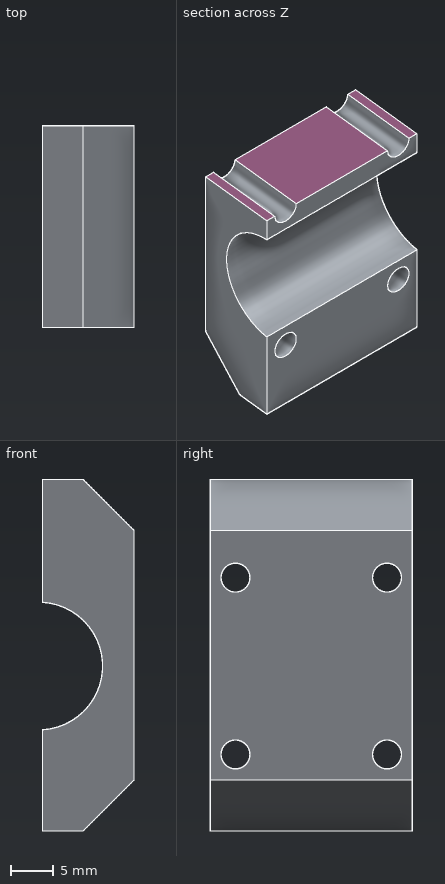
import cadquery as cq

thickness = 10.92
length = 24.0
height = 41.78
corner_chamfer = 6.08

bore_diameter = 15.14
mating_face_x = 0.42
bore_above_bottom = 19.6

hole_diameter = 3.4
hole_spacing_y = 18.0
hole_spacing_z = 21.0


def make_block():
    """Block with 45 degree chamfers on the outer top and bottom edges."""
    block = cq.Workplane("XY").box(thickness, length, height, centered=(False, True, False))
    block = block.edges(">X and |Y").chamfer(corner_chamfer)
    return block.translate((mating_face_x, 0, -bore_above_bottom))


def make_bore():
    """Cylinder along the Y axis, as long as the block."""
    return cq.Workplane("XZ").circle(bore_diameter / 2).extrude(length / 2, both=True)


def make_screw_holes():
    """Four through holes, two on each side of the bore."""
    return (
        cq.Workplane("YZ", origin=(mating_face_x, 0, 0))
        .rect(hole_spacing_y, hole_spacing_z, forConstruction=True)
        .vertices()
        .circle(hole_diameter / 2)
        .extrude(thickness)
    )


result = make_block().cut(make_bore()).cut(make_screw_holes())